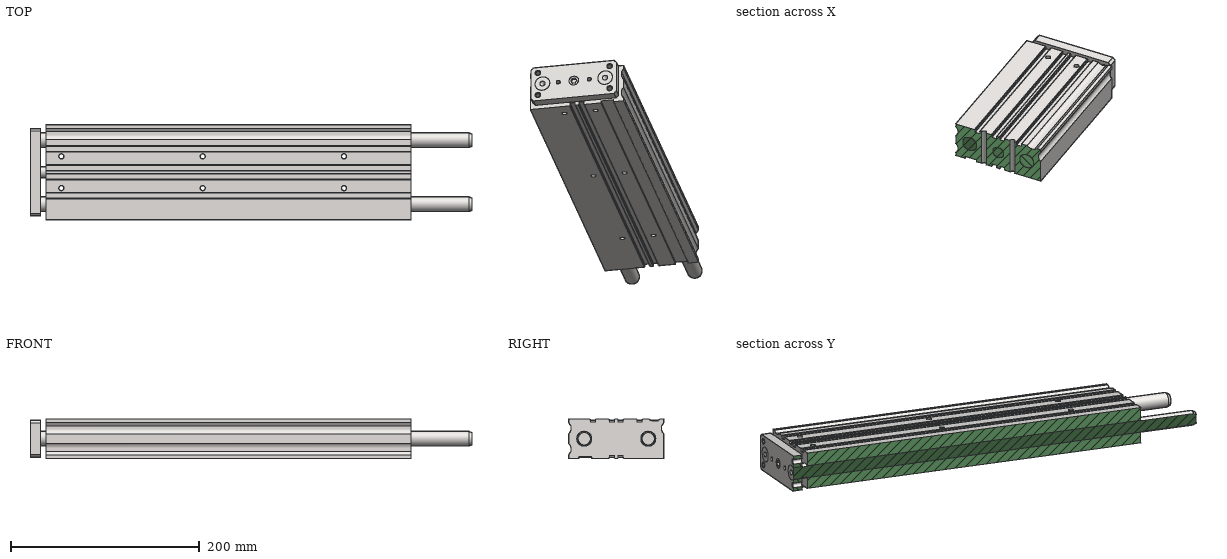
import cadquery as cq
import math

TOTAL_LENGTH = 468.0
FRONT_X = -TOTAL_LENGTH / 2
REAR_X = TOTAL_LENGTH / 2

PLATE_THICKNESS = 10.8
PLATE_REAR_X = FRONT_X + PLATE_THICKNESS
PLATE_WIDTH = 92.5
PLATE_HEIGHT = 39.5
PLATE_CORNER_CHAMFER = 3.0

PLATE_GAP = 5.5
HOUSING_LENGTH = 387.0
HOUSING_WIDTH = 101.0
HOUSING_HEIGHT = 42.0
HOUSING_FRONT_X = PLATE_REAR_X + PLATE_GAP

GUIDE_ROD_DIAMETER = 16.0
GUIDE_ROD_SPACING = 68.0
GUIDE_ROD_Y = GUIDE_ROD_SPACING / 2
TIP_CHAMFER_LENGTH = 3.5
TIP_CHAMFER_DEPTH = 1.5
CENTRE_HOLE_DIAMETER = 5.5
PISTON_ROD_DIAMETER = 12.0
PISTON_ROD_REACH = HOUSING_LENGTH / 2

SCREW_HEAD_DIAMETER = 10.5
SCREW_HEAD_HEIGHT = 6.0
SCREW_SHANK_DIAMETER = 6.0
SCREW_SHANK_LENGTH = 12.0
SOCKET_ACROSS_FLATS = 5.5
SOCKET_DEPTH = 3.0

CORNER_HOLE_Y = 39.0
CORNER_HOLE_Z = 13.0
CORNER_HOLE_DIAMETER = 4.5
CORNER_HOLE_CHAMFER = 0.7
PIN_HOLE_Y = 17.0
PIN_HOLE_DIAMETER = 4.0

GROOVE_LIP = 4.0
GROOVE_FLOOR_START = 7.5
GROOVE_FLOOR_END = 11.5
GROOVE_END = 16.0
GROOVE_DEPTH = 2.5
GROOVE_ARC_SAG = 0.5

SLOT_WIDTH = 5.0
SLOT_DEPTH = 3.5
SLOT_CHAMFER = 0.8
CENTRE_SLOT_Y = 4.5
OUTER_SLOT_Y = 25.0
BOTTOM_CHANNEL_Y = -32.8
BOTTOM_CHANNEL_WIDTH = 13.5
BOTTOM_CHANNEL_DEPTH = 2.5

MOUNT_HOLE_DIAMETER = 5.0
MOUNT_HOLE_Y = 17.0
MOUNT_HOLE_FIRST_X = -201.2
MOUNT_HOLE_PITCH = 149.8
MOUNT_HOLE_COUNT = 3


def rod_along_x(diameter, start_x, length, y=0.0, z=0.0):
    """Cylinder that runs along +X from start_x."""
    return (
        cq.Workplane("YZ", origin=(start_x, y, z))
        .circle(diameter / 2)
        .extrude(length)
    )


def along_housing(points):
    """Prism with a (Y, Z) outline that runs the length of the housing."""
    return (
        cq.Workplane("YZ", origin=(HOUSING_FRONT_X, 0, 0))
        .polyline(points)
        .close()
        .extrude(HOUSING_LENGTH)
    )


def sensor_groove(place):
    """Groove with a sloped side, a flat floor and a hollow curved side.

    place turns (distance from the housing corner, depth) into (Y, Z).
    """
    arc_middle = ((GROOVE_FLOOR_END + GROOVE_END) / 2, GROOVE_DEPTH / 2 + GROOVE_ARC_SAG)
    return (
        cq.Workplane("YZ", origin=(HOUSING_FRONT_X, 0, 0))
        .moveTo(*place(GROOVE_LIP, 0))
        .lineTo(*place(GROOVE_FLOOR_START, GROOVE_DEPTH))
        .lineTo(*place(GROOVE_FLOOR_END, GROOVE_DEPTH))
        .threePointArc(place(*arc_middle), place(GROOVE_END, 0))
        .close()
        .extrude(HOUSING_LENGTH)
    )


def side_groove(y_sign, z_sign):
    """Sensor groove in a side face, next to the edge on the given sides."""
    return sensor_groove(
        lambda along, depth: (
            y_sign * (HOUSING_WIDTH / 2 - depth),
            z_sign * (HOUSING_HEIGHT / 2 - along),
        )
    )


def top_groove():
    """Sensor groove in the top face, next to the +Y edge."""
    return sensor_groove(
        lambda along, depth: (HOUSING_WIDTH / 2 - along, HOUSING_HEIGHT / 2 - depth)
    )


def face_slot(centre_y, z_sign):
    """Slot with chamfered lips in the top (z_sign 1) or bottom (z_sign -1) face."""
    half_profile = [
        (SLOT_WIDTH / 2 + SLOT_CHAMFER, 0),
        (SLOT_WIDTH / 2, SLOT_CHAMFER),
        (SLOT_WIDTH / 2, SLOT_DEPTH),
    ]
    right = [(centre_y + half, depth) for half, depth in half_profile]
    left = [(centre_y - half, depth) for half, depth in reversed(half_profile)]
    return along_housing([(y, z_sign * (HOUSING_HEIGHT / 2 - depth)) for y, depth in right + left])


def bottom_channel():
    """Wide shallow channel in the bottom face, near the -Y edge."""
    return (
        cq.Workplane("YZ", origin=(HOUSING_FRONT_X, BOTTOM_CHANNEL_Y, -HOUSING_HEIGHT / 2))
        .rect(BOTTOM_CHANNEL_WIDTH, 2 * BOTTOM_CHANNEL_DEPTH)
        .extrude(HOUSING_LENGTH)
    )


def make_housing():
    body = cq.Workplane("XY").box(HOUSING_LENGTH, HOUSING_WIDTH, HOUSING_HEIGHT)
    body = body.translate((HOUSING_FRONT_X + HOUSING_LENGTH / 2, 0, 0))

    for y_sign, z_sign in ((1, 1), (-1, 1), (-1, -1)):
        body = body.cut(side_groove(y_sign, z_sign))
    body = body.cut(top_groove())

    for y_sign in (1, -1):
        body = body.cut(face_slot(y_sign * OUTER_SLOT_Y, 1))
        for z_sign in (1, -1):
            body = body.cut(face_slot(y_sign * CENTRE_SLOT_Y, z_sign))
    body = body.cut(bottom_channel())

    mount_points = [
        (MOUNT_HOLE_FIRST_X + i * MOUNT_HOLE_PITCH, y)
        for i in range(MOUNT_HOLE_COUNT)
        for y in (-MOUNT_HOLE_Y, MOUNT_HOLE_Y)
    ]
    mount_holes = (
        cq.Workplane("XY", origin=(0, 0, -HOUSING_HEIGHT / 2))
        .pushPoints(mount_points)
        .circle(MOUNT_HOLE_DIAMETER / 2)
        .extrude(HOUSING_HEIGHT)
    )
    body = body.cut(mount_holes)

    for y in (-GUIDE_ROD_Y, GUIDE_ROD_Y):
        body = body.cut(rod_along_x(GUIDE_ROD_DIAMETER, HOUSING_FRONT_X, HOUSING_LENGTH, y))
    return body.cut(rod_along_x(PISTON_ROD_DIAMETER, HOUSING_FRONT_X, PISTON_ROD_REACH))


def corner_hole():
    """Through hole in the end plate with a chamfered mouth, on the X axis."""
    radius = CORNER_HOLE_DIAMETER / 2
    half_section = [
        (FRONT_X, 0),
        (FRONT_X, radius + CORNER_HOLE_CHAMFER),
        (FRONT_X + CORNER_HOLE_CHAMFER, radius),
        (PLATE_REAR_X, radius),
        (PLATE_REAR_X, 0),
    ]
    return cq.Workplane("XY").polyline(half_section).close().revolve(360, (0, 0, 0), (1, 0, 0))


def screw_blank():
    """Solid screw without its socket, also the shape of the hole that it fills."""
    head = rod_along_x(SCREW_HEAD_DIAMETER, FRONT_X, SCREW_HEAD_HEIGHT)
    shank = rod_along_x(SCREW_SHANK_DIAMETER, FRONT_X + SCREW_HEAD_HEIGHT, SCREW_SHANK_LENGTH)
    return head.union(shank)


def make_end_plate():
    plate = (
        cq.Workplane("YZ", origin=(FRONT_X, 0, 0))
        .rect(PLATE_WIDTH, PLATE_HEIGHT)
        .extrude(PLATE_THICKNESS)
        .edges("|X")
        .chamfer(PLATE_CORNER_CHAMFER)
    )
    for y in (-CORNER_HOLE_Y, CORNER_HOLE_Y):
        for z in (-CORNER_HOLE_Z, CORNER_HOLE_Z):
            plate = plate.cut(corner_hole().translate((0, y, z)))
    for y in (-PIN_HOLE_Y, PIN_HOLE_Y):
        plate = plate.cut(rod_along_x(PIN_HOLE_DIAMETER, FRONT_X, PLATE_THICKNESS, y))
    for y in (-GUIDE_ROD_Y, GUIDE_ROD_Y):
        plate = plate.cut(rod_along_x(GUIDE_ROD_DIAMETER, FRONT_X, PLATE_THICKNESS, y))
    return plate.cut(screw_blank())


def make_guide_rod(y):
    """Guide rod with a coned centre hole in front and a chamfered rear tip."""
    radius = GUIDE_ROD_DIAMETER / 2
    hole_radius = CENTRE_HOLE_DIAMETER / 2
    half_section = [
        (FRONT_X + hole_radius, 0),
        (FRONT_X, hole_radius),
        (FRONT_X, radius),
        (REAR_X - TIP_CHAMFER_LENGTH, radius),
        (REAR_X, radius - TIP_CHAMFER_DEPTH),
        (REAR_X, 0),
    ]
    rod = cq.Workplane("XY").polyline(half_section).close().revolve(360, (0, 0, 0), (1, 0, 0))
    return rod.translate((0, y, 0))


def make_piston_rod():
    """Piston rod that butts against the end plate and holds the screw shank."""
    rod = rod_along_x(PISTON_ROD_DIAMETER, PLATE_REAR_X, PLATE_GAP + PISTON_ROD_REACH)
    return rod.cut(screw_blank())


def make_plate_screw():
    """Screw with its head flush in the end plate and a hexagon socket."""
    across_corners = SOCKET_ACROSS_FLATS / math.cos(math.pi / 6)
    socket = (
        cq.Workplane("YZ", origin=(FRONT_X, 0, 0))
        .polygon(6, across_corners)
        .extrude(SOCKET_DEPTH)
    )
    return screw_blank().cut(socket)


housing = make_housing()
end_plate = make_end_plate()
guide_rods = [make_guide_rod(y) for y in (-GUIDE_ROD_Y, GUIDE_ROD_Y)]
piston_rod = make_piston_rod()
plate_screw = make_plate_screw()

result = cq.Compound.makeCompound(
    [
        housing.val(),
        end_plate.val(),
        *[rod.val() for rod in guide_rods],
        piston_rod.val(),
        plate_screw.val(),
    ]
)